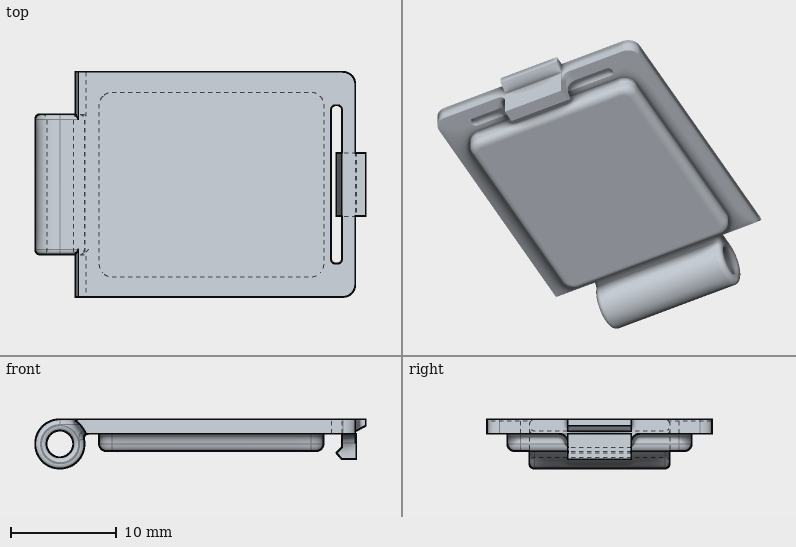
import cadquery as cq
import math

barrel_radius = 2.35
barrel_length = 13.32
bore_radius = 1.25
barrel_edge_fillet = 0.5
bore_edge_fillet = 0.5
neck_fillet = 0.38
neck_end = 3.75

plate_top = barrel_radius
plate_thickness = 1.4
plate_bottom = plate_top - plate_thickness
plate_width = 21.35
plate_end = 28.0
plate_corner_radius = 1.2
hinge_edge_x = 1.72
hinge_bevel_length = 0.25
hinge_bevel_drop = 0.15

pad_start = 3.7
pad_end = 25.0
pad_width = 17.5
pad_depth = 1.63
pad_corner_radius = 1.22
pad_edge_fillet = 0.72

slot_start = 25.7
slot_width = 1.0
slot_length = 15.0
slot_corner_radius = 0.4

latch_width = 6.0
tab_end = 31.35 - barrel_radius
tab_tip_thickness = 0.63
tab_root_thickness = 1.15
latch_front = slot_start + slot_width
latch_back = 28.1
latch_bottom = -1.45
barb_tip_x = 26.18
barb_tip_z = -0.85
barb_top_z = -0.3
latch_root_fillet = 0.8


def extrude_across(profile, width):
    """Extrude an XZ profile symmetrically about the XZ plane."""
    return profile.extrude(width / 2, both=True)


def make_plate():
    """Plate whose hinge edge is hollowed around the barrel axis."""
    tip_x = hinge_edge_x - hinge_bevel_length
    tip_z = plate_top - hinge_bevel_drop
    hinge_clearance_radius = math.hypot(tip_x, tip_z)
    bottom_x = math.sqrt(hinge_clearance_radius**2 - plate_bottom**2)
    tip_angle = math.atan2(tip_z, tip_x)
    bottom_angle = math.atan2(plate_bottom, bottom_x)
    middle_angle = (tip_angle + bottom_angle) / 2
    arc_middle = (
        hinge_clearance_radius * math.cos(middle_angle),
        hinge_clearance_radius * math.sin(middle_angle),
    )
    profile = (
        cq.Workplane("XZ")
        .moveTo(hinge_edge_x, plate_top)
        .lineTo(tip_x, tip_z)
        .threePointArc(arc_middle, (bottom_x, plate_bottom))
        .lineTo(plate_end, plate_bottom)
        .lineTo(plate_end, plate_top)
        .close()
    )
    plate = extrude_across(profile, plate_width)
    return plate.edges("|Z and >X").fillet(plate_corner_radius)


def make_bore():
    """Bore with rounded mouths, as a solid of revolution about the Y axis."""
    end_y = barrel_length / 2
    mouth_y = end_y - bore_edge_fillet
    mouth_radius = bore_radius + bore_edge_fillet
    arc_offset = bore_edge_fillet * math.sqrt(0.5)
    arc_x = mouth_radius - arc_offset
    arc_y = mouth_y + arc_offset
    return (
        cq.Workplane("XY")
        .moveTo(0, -end_y)
        .lineTo(mouth_radius, -end_y)
        .threePointArc((arc_x, -arc_y), (bore_radius, -mouth_y))
        .lineTo(bore_radius, mouth_y)
        .threePointArc((arc_x, arc_y), (mouth_radius, end_y))
        .lineTo(0, end_y)
        .close()
        .revolve(360, (0, 0, 0), (0, 1, 0))
    )


def make_barrel():
    """Bored barrel with a neck into the plate and rounded end edges."""
    fillet_z = plate_bottom - neck_fillet
    fillet_x = math.sqrt((barrel_radius + neck_fillet)**2 - fillet_z**2)
    tangent_angle = math.atan2(fillet_z, fillet_x)
    tangent_point = (
        barrel_radius * math.cos(tangent_angle),
        barrel_radius * math.sin(tangent_angle),
    )
    fillet_middle_angle = (math.pi / 2 + math.pi + tangent_angle) / 2
    fillet_middle = (
        fillet_x + neck_fillet * math.cos(fillet_middle_angle),
        fillet_z + neck_fillet * math.sin(fillet_middle_angle),
    )
    profile = (
        cq.Workplane("XZ")
        .moveTo(0, barrel_radius)
        .lineTo(neck_end, barrel_radius)
        .lineTo(neck_end, plate_bottom)
        .lineTo(fillet_x, plate_bottom)
        .threePointArc(fillet_middle, tangent_point)
        .threePointArc((0, -barrel_radius), (-barrel_radius, 0))
        .threePointArc(
            (-barrel_radius * math.sqrt(0.5), barrel_radius * math.sqrt(0.5)),
            (0, barrel_radius),
        )
        .close()
    )
    barrel = extrude_across(profile, barrel_length)
    barrel = barrel.faces("<Y or >Y").edges("not >X").fillet(barrel_edge_fillet)
    return barrel.cut(make_bore())


def make_pad():
    pad = (
        cq.Workplane("XY", origin=((pad_start + pad_end) / 2, 0, plate_bottom))
        .rect(pad_end - pad_start, pad_width)
        .extrude(-pad_depth)
    )
    return pad.edges("|Z").fillet(pad_corner_radius).faces("<Z").edges().fillet(pad_edge_fillet)


def make_slot():
    slot = (
        cq.Workplane("XY", origin=(slot_start + slot_width / 2, 0, plate_bottom))
        .rect(slot_width, slot_length)
        .extrude(plate_thickness)
    )
    return slot.edges("|Z").fillet(slot_corner_radius)


def make_tab():
    profile = (
        cq.Workplane("XZ")
        .moveTo(latch_front, plate_top)
        .lineTo(tab_end, plate_top)
        .lineTo(tab_end, plate_top - tab_tip_thickness)
        .lineTo(plate_end, plate_top - tab_root_thickness)
        .lineTo(latch_front, plate_top - tab_root_thickness)
        .close()
    )
    return extrude_across(profile, latch_width)


def make_latch():
    """Hanging latch with a barb pointing toward the hinge."""
    profile = (
        cq.Workplane("XZ")
        .moveTo(latch_front, plate_bottom)
        .lineTo(latch_front, barb_top_z)
        .lineTo(barb_tip_x, barb_tip_z)
        .lineTo(latch_front, latch_bottom)
        .lineTo(latch_back, latch_bottom)
        .lineTo(latch_back, plate_bottom)
        .close()
    )
    return extrude_across(profile, latch_width)


def make_latch_root(side):
    """Concave flare from one side of the latch to the plate underside."""
    inner_y = side * latch_width / 2
    outer_y = inner_y + side * latch_root_fillet
    lower_z = plate_bottom - latch_root_fillet
    arc_offset = latch_root_fillet * math.sqrt(0.5)
    return (
        cq.Workplane("YZ", origin=(latch_front, 0, 0))
        .moveTo(inner_y, plate_bottom)
        .lineTo(inner_y, lower_z)
        .threePointArc(
            (outer_y - side * arc_offset, lower_z + arc_offset),
            (outer_y, plate_bottom),
        )
        .close()
        .extrude(plate_end - latch_front)
    )


result = make_plate().cut(make_slot())
for feature in (make_barrel(), make_pad(), make_tab(), make_latch()):
    result = result.union(feature)
for side in (-1, 1):
    result = result.union(make_latch_root(side))